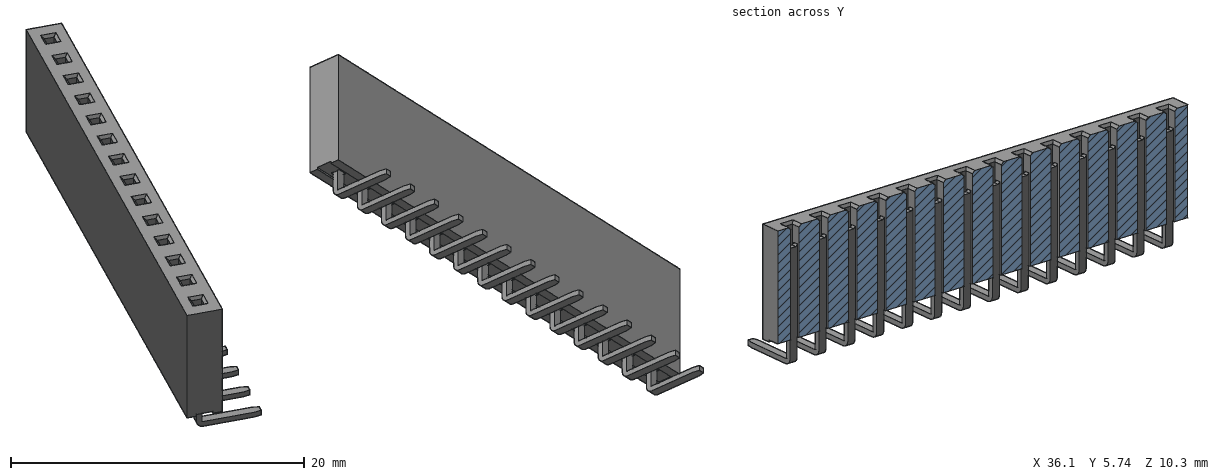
import cadquery as cq

contact_count = 14
pitch = 2.54
end_allowance = 0.5
housing_length = contact_count * pitch + end_allowance
housing_depth = 2.54
housing_height = 8.5

channel_width = 1.2
channel_depth = 0.15

mouth_size = 1.1
throat_size = 0.7
lead_in_depth = (mouth_size - throat_size) / 2

contact_drop = 1.5
notch_floor_width = 0.4
notch_depth = (throat_size - notch_floor_width) / 2

overall_depth = 5.74
overall_height = 10.3
pin_width = 0.64
pin_thickness = 0.4
bend_radius = 0.5
tip_width = 0.44
tip_length = 0.5
pin_root_height = 0.5

contact_top = housing_height - contact_drop
pin_bottom = housing_height - overall_height
pin_end = overall_depth - housing_depth / 2
pin_front = -pin_thickness / 2
contact_positions = [(i - (contact_count - 1) / 2) * pitch for i in range(contact_count)]


def make_housing():
    housing = cq.Workplane("XY").box(
        housing_length, housing_depth, housing_height, centered=(True, True, False)
    )
    channel = cq.Workplane("XY").box(
        housing_length, channel_width, channel_depth, centered=(True, True, False)
    )
    return housing.cut(channel)


def make_socket():
    """Square contact opening: a tapered lead-in above a straight through hole."""
    lead_in = (
        cq.Workplane("XY", origin=(0, 0, housing_height))
        .rect(mouth_size, mouth_size)
        .workplane(offset=-lead_in_depth)
        .rect(throat_size, throat_size)
        .loft(ruled=True)
    )
    bore = (
        cq.Workplane("XY")
        .rect(throat_size, throat_size)
        .extrude(housing_height - lead_in_depth)
    )
    return lead_in.union(bore)


def make_contact():
    """Contact blade filling the socket across X, with a tapered notch in its top edge."""
    return (
        cq.Workplane("XZ", origin=(0, pin_thickness / 2, 0))
        .moveTo(-throat_size / 2, channel_depth)
        .lineTo(throat_size / 2, channel_depth)
        .lineTo(throat_size / 2, contact_top)
        .lineTo(notch_floor_width / 2, contact_top - notch_depth)
        .lineTo(-notch_floor_width / 2, contact_top - notch_depth)
        .lineTo(-throat_size / 2, contact_top)
        .close()
        .extrude(pin_thickness)
    )


def make_pin():
    """Flat pin leaving the housing downward, bent toward +Y, with a tapered tip."""
    pin = (
        cq.Workplane("YZ", origin=(-pin_width / 2, 0, 0))
        .moveTo(pin_front, pin_root_height)
        .lineTo(pin_front, pin_bottom + bend_radius)
        .radiusArc((pin_front + bend_radius, pin_bottom), -bend_radius)
        .lineTo(pin_end, pin_bottom)
        .lineTo(pin_end, pin_bottom + pin_thickness)
        .lineTo(pin_front + pin_thickness, pin_bottom + pin_thickness)
        .lineTo(pin_front + pin_thickness, pin_root_height)
        .close()
        .extrude(pin_width)
    )
    tip_outline = (
        cq.Workplane("XY", origin=(0, 0, pin_bottom))
        .moveTo(-pin_width / 2, pin_front)
        .lineTo(pin_width / 2, pin_front)
        .lineTo(pin_width / 2, pin_end - tip_length)
        .lineTo(tip_width / 2, pin_end)
        .lineTo(-tip_width / 2, pin_end)
        .lineTo(-pin_width / 2, pin_end - tip_length)
        .close()
        .extrude(pin_root_height - pin_bottom)
    )
    return pin.intersect(tip_outline)


socket = make_socket()
terminal = make_contact().union(make_pin())
result = make_housing()
for x in contact_positions:
    result = result.cut(socket.translate((x, 0, 0)))
    result = result.union(terminal.translate((x, 0, 0)))